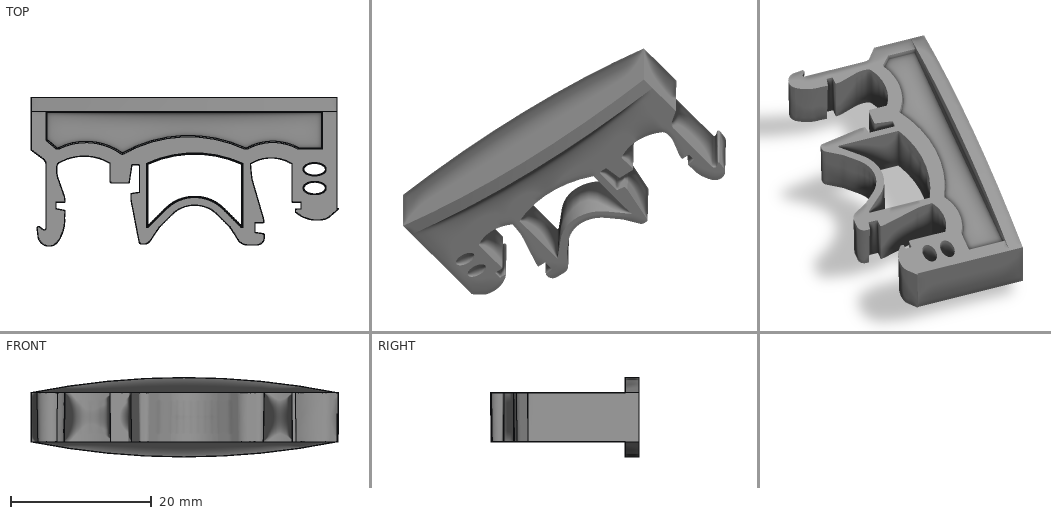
import cadquery as cq
import math


length = 43.48
flange_thickness = 2.0
body_height = 7.0
flange_height = 11.31
top_z = body_height / 2
outer_draft = 1.0
margin = 2.0

lip_x = 43.68
lip_y = -15.9
lip_thickness = 0.1

shoulder_y = -7.5
shoulder_end = (1.6, -8.7)
leg_x = 2.1
leg_notch_x = 3.56
leg_notch_top = -14.95
leg_notch_bottom = -15.83
leg_nose_x = 4.86
hook_centre = (2.55, -19.57)
hook_radius = 1.6

left_bay_start = (4.1, -9.25)
left_bay_crown = (7.55, -8.38)
left_bay_end = (11.2, -9.38)
right_bay_start = (31.2, -9.45)
right_bay_crown = (34.2, -8.64)
right_bay_end = (37.05, -9.45)

tab_bottom = -12.2
tab_right_bottom = 13.95
tab_right_top = 14.35
slot_top = -9.6
slot_x = 15.38
slot_bottom = -13.5

centre_x = 23.25
arm_step = (14.17, -13.68)
arm_flank_y = -14.5
arm_tip_y = -20.87
arm_tip_left = 15.4
arch_foot_half = 6.62
arch_knee_half = 5.0
arch_knee_round = 3.0
arch_radius = 4.6
arch_slope = 45.0
arch_crown_y = -15.35
arch_centre_y = arch_crown_y - arch_radius
arch_wall = 1.11
arm_tip_right_y = -21.0
arm_notch_x = 31.83
arm_notch_top = -17.85
arm_notch_bottom = -19.2
arm_nose_x = 33.15
arm_nose_bottom = -19.4

block_notch_x = 38.36
block_notch_top = -14.95
block_notch_bottom = -15.86
block_nose_x = 37.55
block_nose_bottom = -16.3
block_low_point = (40.6, -17.48)

window_half = 6.85
window_corner_y = -9.4
window_crown_y = -7.9
window_foot_half = 6.6
window_draft = 1.5

pocket_depth = 0.6
pocket_draft = 18.0
pocket_left = 2.1
pocket_right = 41.45
pocket_left_bottom = -6.1
pocket_low_y = -7.38
pocket_valley = (12.95, -8.15)

oval_x = 40.3
oval_centres_y = (-10.23, -12.9)
oval_half_length = 1.65
oval_half_width = 0.95
oval_draft = 1.0

small_round = 0.18


def line(point):
    """Outline step: a straight run to `point`."""
    return [(point,)]


def arc(middle, end):
    """Outline step: an arc through `middle` to `end`."""
    return [(middle, end)]


def rounded(before, corner, after, radius=small_round):
    """Straight run toward `corner`, turning toward `after` with a tangent arc."""

    def unit(target):
        dx = target[0] - corner[0]
        dy = target[1] - corner[1]
        size = math.hypot(dx, dy)
        return (dx / size, dy / size)

    def along(direction, distance):
        return (corner[0] + direction[0] * distance, corner[1] + direction[1] * distance)

    u = unit(before)
    v = unit(after)
    half_angle = math.acos(u[0] * v[0] + u[1] * v[1]) / 2
    setback = radius / math.tan(half_angle)
    bisector = unit(along((u[0] + v[0], u[1] + v[1]), 1))
    middle = along(bisector, radius / math.sin(half_angle) - radius)
    return line(along(u, setback)) + arc(middle, along(v, setback))


def trace(start, steps, z):
    """Closed wire at height `z` through the given line and arc steps."""
    wire = cq.Workplane("XY").workplane(offset=z).moveTo(*start)
    for step in steps:
        if len(step) == 1:
            wire = wire.lineTo(*step[0])
        else:
            wire = wire.threePointArc(*step)
    return wire.close()


def left_leg():
    """From the shoulder down the outer side, round the hook and up to the left bay."""
    leg_top = (leg_x, -9.6)
    shoulder_middle = (1.98, -9.1)
    valley = (leg_x, -19.1)
    valley_radius = 0.22
    valley_exit = (1.1, -18.28)
    lip_inner = (1.3, -18.48)
    lip_crown = (1.02, -18.36)
    lip_outer = (0.84, -18.65)
    hook_start = (hook_centre[0] - hook_radius, hook_centre[1])
    hook_low = (hook_centre[0], hook_centre[1] - hook_radius)
    hook_end = (3.75, -20.63)
    cheek_middle = (4.6, -18.9)
    cheek_top = (4.78, -17.05)
    nose_bottom = (leg_nose_x, -16.08)
    nose_bottom_radius = 0.12
    notch_floor = (leg_notch_x, leg_notch_bottom)
    notch_roof = (leg_notch_x, leg_notch_top)
    nose_top = (leg_nose_x, leg_notch_top)
    ramp_low = (4.75, -14.1)
    ramp_high = (3.78, -11.35)
    neck_middle = (3.66, -10.6)
    neck_top = (3.68, -9.8)
    bay_corner_middle = (3.82, -9.47)

    steps = line(shoulder_end)
    steps += arc(shoulder_middle, leg_top)
    steps += rounded(leg_top, valley, valley_exit, valley_radius)
    steps += line(lip_inner)
    steps += arc(lip_crown, lip_outer)
    steps += line(hook_start)
    steps += arc(hook_low, hook_end)
    steps += arc(cheek_middle, cheek_top)
    steps += rounded(cheek_top, nose_bottom, notch_floor, nose_bottom_radius)
    steps += line(notch_floor) + line(notch_roof)
    steps += rounded(notch_roof, nose_top, ramp_low)
    steps += line(ramp_low) + line(ramp_high)
    steps += arc(neck_middle, neck_top)
    steps += arc(bay_corner_middle, left_bay_start)
    return steps


def left_bay_and_tab():
    """Roof of the left bay, the stop tab and the slot up to the centre clip."""
    tab_left_radius = 0.3
    slot_left_radius = 0.1
    tab_left = (left_bay_end[0], tab_bottom)
    tab_right = (tab_right_bottom, tab_bottom)
    slot_left = (tab_right_top, slot_top)
    slot_corner = (slot_x, slot_top)
    slot_end = (slot_x, slot_bottom)
    steps = arc(left_bay_crown, left_bay_end)
    steps += rounded(left_bay_end, tab_left, tab_right, tab_left_radius)
    steps += rounded(tab_left, tab_right, slot_left)
    steps += rounded(tab_right, slot_left, slot_corner, slot_left_radius)
    steps += rounded(slot_left, slot_corner, slot_end)
    steps += line(slot_end)
    return steps


def spring_point(radius, side):
    """Where an arch about the shared arch centre turns into its 45 degree slope; side is -1 or 1."""
    reach = radius * math.sin(math.radians(arch_slope))
    rise = radius * math.cos(math.radians(arch_slope))
    return (centre_x + side * reach, arch_centre_y + rise)


def slope_y(radius, half_width):
    """Height of the straight slope of that arch at a distance from the centre line."""
    spring_x, spring_y = spring_point(radius, 1)
    run = centre_x + half_width - spring_x
    return spring_y - run * math.tan(math.radians(arch_slope))


def centre_clip():
    """From the left arm, under the arch and up the right arm to the right bay."""
    left_tip_radius = 0.4
    left_foot_radius = 0.9
    right_foot_radius = 1.6
    right_tip_radius = 1.05
    arm_tip = (arm_tip_left, arm_tip_y)
    arch_foot = (centre_x - arch_foot_half, arm_tip_y)
    flank_top = (arm_step[0], arm_flank_y)
    knee_y = slope_y(arch_radius, arch_knee_half)
    knee_left = (centre_x - arch_knee_half, knee_y)
    knee_right = (centre_x + arch_knee_half, knee_y)
    spring_left = spring_point(arch_radius, -1)
    spring_right = spring_point(arch_radius, 1)
    foot_right = (centre_x + arch_foot_half, arm_tip_right_y)
    tip_right = (arm_nose_x, arm_tip_right_y)
    notch_floor = (arm_notch_x, arm_notch_bottom)
    notch_roof = (arm_notch_x, arm_notch_top)
    nose_bottom = (arm_nose_x, arm_nose_bottom)
    nose_top = (arm_nose_x, arm_notch_top)
    ramp_low = (33.0, -17.1)
    ramp_high = (31.42, -11.7)
    neck_middle = (31.3, -10.7)
    neck_top = (31.22, -9.75)
    steps = line(arm_step) + line(flank_top)
    steps += rounded(flank_top, arm_tip, arch_foot, left_tip_radius)
    steps += rounded(arm_tip, arch_foot, knee_left, left_foot_radius)
    steps += rounded(arch_foot, knee_left, spring_left, arch_knee_round)
    steps += line(spring_left)
    steps += arc((centre_x, arch_crown_y), spring_right)
    steps += rounded(spring_right, knee_right, foot_right, arch_knee_round)
    steps += rounded(knee_right, foot_right, tip_right, right_foot_radius)
    steps += rounded(foot_right, tip_right, nose_bottom, right_tip_radius)
    steps += rounded(tip_right, nose_bottom, notch_floor)
    steps += line(notch_floor) + line(notch_roof)
    steps += rounded(notch_roof, nose_top, ramp_low)
    steps += line(ramp_low) + line(ramp_high)
    steps += arc(neck_middle, neck_top)
    steps += line(right_bay_start)
    return steps


def right_bay_and_block():
    """Roof of the right bay and the hooked underside of the right block."""
    block_corner = (right_bay_end[0], block_notch_top)
    notch_roof = (block_notch_x, block_notch_top)
    notch_floor = (block_notch_x, block_notch_bottom)
    nose_top = (block_nose_x, block_notch_bottom)
    nose_bottom = (block_nose_x, block_nose_bottom)
    belly_end = (41.5, -17.4)
    belly_corner = (42.1, -17.27)
    belly_radius = 2.0
    lip = (lip_x, lip_y)
    steps = arc(right_bay_crown, right_bay_end)
    steps += rounded(right_bay_end, block_corner, notch_roof)
    steps += line(notch_roof) + line(notch_floor)
    steps += rounded(notch_floor, nose_top, nose_bottom)
    steps += line(nose_bottom)
    steps += arc(block_low_point, belly_end)
    steps += rounded(belly_end, belly_corner, lip, belly_radius)
    steps += line(lip)
    return steps


def block(x_min, x_max, y_min, y_max):
    """Rectangular block as tall as the body."""
    size_x = x_max - x_min
    size_y = y_max - y_min
    return cq.Workplane("XY").box(size_x, size_y, body_height).translate(
        ((x_min + x_max) / 2, (y_min + y_max) / 2, 0)
    )


def body():
    """Drafted clip body, trimmed to straight back and end faces."""
    start = (-margin, shoulder_y)
    steps = line((0, shoulder_y))
    steps += left_leg() + left_bay_and_tab() + centre_clip() + right_bay_and_block()
    steps += line((lip_x + margin, lip_y)) + line((lip_x + margin, margin)) + line((-margin, margin))
    drafted = trace(start, steps, top_z).extrude(-body_height, taper=outer_draft)
    envelope = block(0, length, -length, 0)
    lip = block(length, lip_x, lip_y - margin, lip_y + lip_thickness)
    return drafted.intersect(envelope.union(lip))


def flange():
    """Back plate whose top and bottom edges bow outward from the body corners."""
    crown_z = flange_height / 2
    return (
        cq.Workplane("XZ")
        .moveTo(0, -top_z)
        .threePointArc((length / 2, -crown_z), (length, -top_z))
        .lineTo(length, top_z)
        .threePointArc((length / 2, crown_z), (0, top_z))
        .close()
        .extrude(flange_thickness)
    )


def window():
    """Opening between the roof, the two arms and the arch of the centre clip."""
    left = centre_x - window_half
    right = centre_x + window_half
    arch_top_radius = arch_radius + arch_wall
    foot_y = slope_y(arch_top_radius, window_foot_half)
    foot_left = (centre_x - window_foot_half, foot_y)
    foot_right = (centre_x + window_foot_half, foot_y)
    spring_left = spring_point(arch_top_radius, -1)
    spring_right = spring_point(arch_top_radius, 1)
    steps = arc((centre_x, window_crown_y), (right, window_corner_y))
    steps += line((right, foot_y)) + line(foot_right) + line(spring_right)
    steps += arc((centre_x, arch_crown_y + arch_wall), spring_left)
    steps += line(foot_left) + line((left, foot_y))
    outline = trace((left, window_corner_y), steps, top_z)
    return outline.extrude(-body_height, taper=window_draft)


def pocket():
    """Shallow recess with sloping walls that follows the roofs of the three bays."""
    right_start = (38.0, pocket_low_y)
    right_crown = (34.3, -6.43)
    right_end = (30.7, pocket_low_y)
    centre_start = (30.4, pocket_low_y)
    centre_crown = (22.8, -5.62)
    left_crown = (8.0, -6.45)
    left_end = (3.9, pocket_low_y)
    left_corner = (3.6, pocket_low_y)

    steps = line((pocket_right, -flange_thickness))
    steps += line((pocket_right, pocket_low_y)) + line(right_start)
    steps += arc(right_crown, right_end)
    steps += line(centre_start)
    steps += arc(centre_crown, pocket_valley)
    steps += arc(left_crown, left_end)
    steps += line(left_corner) + line((pocket_left, pocket_left_bottom))
    outline = trace((pocket_left, -flange_thickness), steps, top_z)
    return outline.extrude(-pocket_depth, taper=pocket_draft)


def oval_hole(centre_y):
    """Drafted oval hole through the right block."""
    outline = cq.Workplane("XY").workplane(offset=top_z).center(oval_x, centre_y)
    return outline.ellipse(oval_half_length, oval_half_width).extrude(-body_height, taper=oval_draft)


result = body().union(flange()).cut(window()).cut(pocket())
for oval_y in oval_centres_y:
    result = result.cut(oval_hole(oval_y))